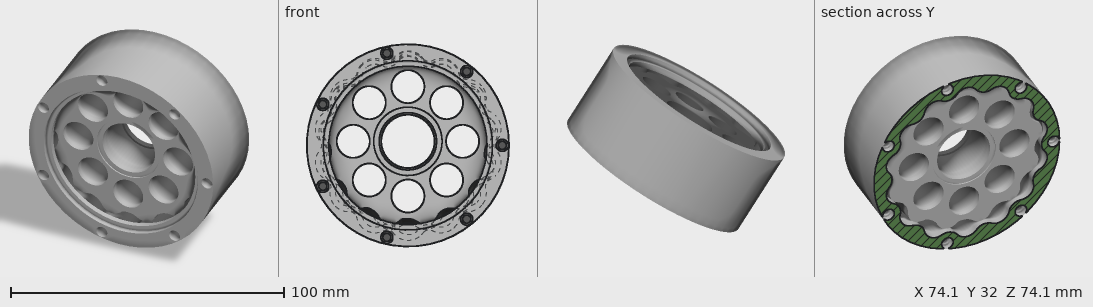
import cadquery as cq
import math

outer_radius = 37.05
width = 32.0
front_y = -width / 2
back_y = width / 2

recess_radius = 31.0
recess_depth = 2.0
lip_radius = 29.0
lip_thickness = 2.0

tooth_count = 14
lobe_count = tooth_count - 1
eccentricity = 1.5
tooth_circle_radius = 34.5
tooth_radius_front = 4.7
tooth_radius_back = 3.05
clearance = 0.1

screw_count = tooth_count // 2
screw_radius = 2.2
screw_depth = 6.0
screw_pilot_radius = 1.5
screw_pilot_depth = 10.0

disc_gap = 2.5
hole_count = 8
hole_circle_radius = 20.0
hole_radius = 6.0
bore_radius = 10.5
bore_end_radius = 9.7
bore_end_thickness = 2.0
bore_recess_radius = 12.5
bore_recess_depth = 0.5

cavity_front_y = front_y + recess_depth + lip_thickness
cavity_back_y = back_y - recess_depth - lip_thickness
disc_front_y = cavity_front_y + disc_gap
disc_back_y = cavity_back_y - disc_gap
disc_thickness = disc_back_y - disc_front_y
disc_axis_z = eccentricity
tooth_slope = (tooth_radius_front - tooth_radius_back) / disc_thickness

half_pitch = math.pi / tooth_count
root_depth_radius = tooth_circle_radius - tooth_radius_front + 2 * eccentricity
tooth_axis_height = tooth_circle_radius * math.cos(half_pitch)
tooth_axis_offset = tooth_circle_radius * math.sin(half_pitch)
root_radius_front = (
    (root_depth_radius - tooth_axis_height) ** 2 + tooth_axis_offset**2 - tooth_radius_front**2
) / (2 * (root_depth_radius - tooth_axis_height + tooth_radius_front))
root_circle_radius = root_depth_radius - root_radius_front

spans_per_lobe = 12


def plane_at(y, x=0.0, z=0.0):
    """Plane across the Y axis at y, whose normal points along +Y."""
    return cq.Plane(origin=(x, y, z), xDir=(1, 0, 0), normal=(0, 1, 0))


def cylinder(radius, y, length, x=0.0, z=0.0):
    return cq.Workplane(plane_at(y, x, z)).circle(radius).extrude(length)


def around(count, radius):
    """Evenly spaced (x, z) places on a circle."""
    angles = [2 * math.pi * i / count for i in range(count)]
    return [(radius * math.cos(a), radius * math.sin(a)) for a in angles]


def polar_point(radius, angle, y):
    return cq.Vector(radius * math.cos(angle), y, radius * math.sin(angle))


def toothed_wire(y):
    """Closed outline of the cavity: an inward arc for each tooth and an outward arc for each root."""
    growth = tooth_slope * (y - disc_front_y)
    tooth_radius = tooth_radius_front - growth
    root_radius = root_radius_front + growth
    share = tooth_radius / (tooth_radius + root_radius)
    edges = []
    for tooth in range(tooth_count):
        angle = 2 * tooth * half_pitch
        tooth_axis = polar_point(tooth_circle_radius, angle, y)
        root_axis_before = polar_point(root_circle_radius, angle - half_pitch, y)
        root_axis_after = polar_point(root_circle_radius, angle + half_pitch, y)
        next_tooth_axis = polar_point(tooth_circle_radius, angle + 2 * half_pitch, y)
        tooth_start = tooth_axis + (root_axis_before - tooth_axis) * share
        tooth_end = tooth_axis + (root_axis_after - tooth_axis) * share
        root_end = next_tooth_axis + (root_axis_after - next_tooth_axis) * share
        tooth_tip = polar_point(tooth_circle_radius - tooth_radius, angle, y)
        root_bottom = polar_point(root_circle_radius + root_radius, angle + half_pitch, y)
        edges.append(cq.Edge.makeThreePointArc(tooth_start, tooth_tip, tooth_end))
        edges.append(cq.Edge.makeThreePointArc(tooth_end, root_bottom, root_end))
    return cq.Wire.assembleEdges(edges)


def tooth_cavity():
    front = toothed_wire(cavity_front_y)
    back = toothed_wire(cavity_back_y)
    return cq.Workplane(cq.Solid.makeLoft([front, back], True))


def make_housing():
    body = cylinder(outer_radius, front_y, width)
    body = body.cut(cylinder(lip_radius, front_y, width))
    body = body.cut(cylinder(recess_radius, front_y, recess_depth))
    body = body.cut(cylinder(recess_radius, back_y - recess_depth, recess_depth))
    body = body.cut(tooth_cavity())
    for x, z in around(screw_count, tooth_circle_radius):
        body = body.cut(cylinder(screw_radius, front_y, screw_depth, x, z))
        body = body.cut(cylinder(screw_pilot_radius, front_y, screw_pilot_depth, x, z))
    return body


def lobe_point(angle, tooth_radius):
    """Point of the disc outline about its own axis, with a valley at angle zero.

    A cycloid is followed by the centre of a tooth; the outline lies inside it by the tooth radius.
    """
    inset = tooth_radius + clearance
    turn = tooth_count * angle
    x = tooth_circle_radius * math.cos(angle) - eccentricity * math.cos(turn)
    y = tooth_circle_radius * math.sin(angle) - eccentricity * math.sin(turn)
    tangent_x = -tooth_circle_radius * math.sin(angle) + eccentricity * tooth_count * math.sin(turn)
    tangent_y = tooth_circle_radius * math.cos(angle) - eccentricity * tooth_count * math.cos(turn)
    speed = math.hypot(tangent_x, tangent_y)
    return x - inset * tangent_y / speed, y + inset * tangent_x / speed


def lobed_wire(y, tooth_radius):
    """Closed outline with one spline per lobe, each from valley to valley."""
    pitch = 2 * math.pi / lobe_count
    edges = []
    for lobe in range(lobe_count):
        points = []
        for i in range(spans_per_lobe + 1):
            along, across = lobe_point((lobe + i / spans_per_lobe) * pitch, tooth_radius)
            points.append(cq.Vector(across, y, disc_axis_z - along))
        valley_angles = (lobe * pitch, (lobe + 1) * pitch)
        tangents = [cq.Vector(math.cos(a), 0, math.sin(a)) for a in valley_angles]
        edges.append(cq.Edge.makeSpline(points, tangents))
    return cq.Wire.assembleEdges(edges)


def make_disc():
    front = lobed_wire(disc_front_y, tooth_radius_front)
    back = lobed_wire(disc_back_y, tooth_radius_back)
    body = cq.Workplane(cq.Solid.makeLoft([front, back], True))
    body = body.cut(cylinder(bore_end_radius, disc_front_y, disc_thickness, 0, disc_axis_z))
    body = body.cut(cylinder(bore_radius, disc_front_y, disc_thickness - bore_end_thickness, 0, disc_axis_z))
    body = body.cut(cylinder(bore_recess_radius, disc_front_y, bore_recess_depth, 0, disc_axis_z))
    for x, z in around(hole_count, hole_circle_radius):
        body = body.cut(cylinder(hole_radius, disc_front_y, disc_thickness, x, disc_axis_z + z))
    return body


housing = make_housing()
disc = make_disc()
result = cq.Compound.makeCompound([housing.val(), disc.val()])